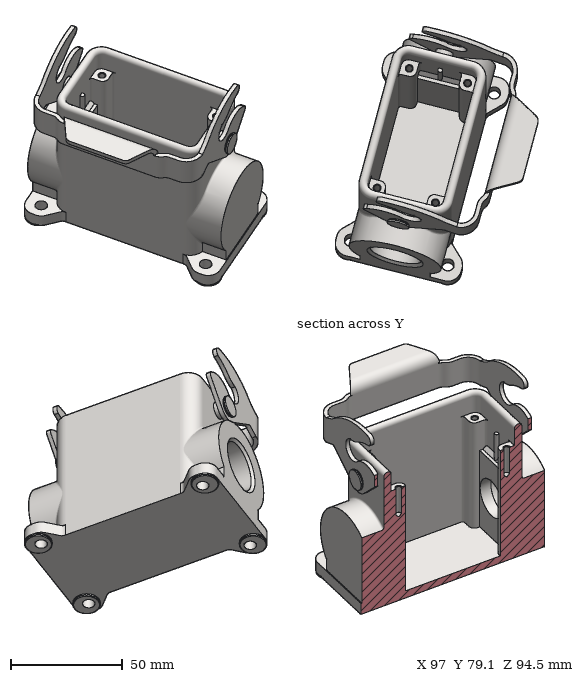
import cadquery as cq
import math

body_length = 73.1
body_width = 43.1
body_bottom = 1.2
body_top = 74.8
body_corner_radius = 7.5
wall = 4.2
floor_top = body_bottom + wall

entry_height = 27.2
boss_radius = 21.3
boss_left_end = -48.5
boss_right_end = 48.1
boss_inner_end = 27.2
boss_fillet = 1.0
neck_width = 32.4
entry_diameter = 23.5
entry_rim_diameter = 26.0
entry_floor = -34.5
entry_opening_diameter = 19.0

foot_end = 48.5
foot_half_width = 29.0
foot_top = 7.4
foot_shoulder = 10.3
foot_inner_x = 29.2
foot_outer_radius = 6.0
foot_inner_radius = 2.9
foot_hole_diameter = 5.5
foot_hole_x = 41.0
foot_hole_y = 22.5
pad_radius = 6.2
pad_chamfer = 0.4

post_inner_x = 24.9
post_inner_y = 9.9
post_top = 63.6
post_corner_radius = 2.9
post_root_radius = 1.2
post_hole_x = 28.5
post_hole_y = 13.5
post_hole_diameter = 2.8
post_hole_rim_diameter = 3.5
post_burial = 1.0
post_hole_depth = 14.55
entry_pad_face = 28.9
entry_pad_ledge = 30.6
entry_pad_top = 47.6
pin_diameter = 2.1
pin_x = 31.6
pin_top = 62.2

sheet = 2.0
arm_outer_x = 41.6
arm_end_y = -26.8
pivot_z = 65.2
pivot_diameter = 8.0
head_diameter = 10.0
head_thickness = 0.9
head_collar_diameter = 8.9
head_end_x = 43.2
strap_bottom = 69.1
strap_top = 82.6
strap_corner_radius = 7.2
strap_side_end_x = 29.1
joggle_offset = 2.1
joggle_radius = 5.0
joggle_angle = math.radians(32)
lip_bend_radius = 4.9
lip_end_y = -50.1
lip_root_half_width = 23.5
lip_tip_half_width = 14.9
lip_corner_radius = 2.9

cos_45 = math.sqrt(0.5)
inner_x = body_length / 2 - wall
inner_y = body_width / 2 - wall
rim_centre_z = body_top - wall / 2
arm_middle_x = arm_outer_x - sheet / 2
strap_side_y = arm_end_y - strap_corner_radius
strap_front_y = strap_side_y - joggle_offset


def on_both_ends(shape):
    return shape.union(shape.mirror("YZ"))


def on_four_corners(shape):
    return on_both_ends(shape.union(shape.mirror("XZ")))


def make_body():
    return (
        cq.Workplane("XY", origin=(0, 0, body_bottom))
        .rect(body_length, body_width)
        .extrude(rim_centre_z - body_bottom)
        .edges("|Z")
        .fillet(body_corner_radius)
    )


def make_rim():
    """Round bead that runs along the middle of the wall's top edge."""
    half_length = (body_length - wall) / 2
    half_width = (body_width - wall) / 2
    corner = body_corner_radius - wall / 2
    path = (
        cq.Workplane("XY", origin=(0, 0, rim_centre_z))
        .moveTo(0, -half_width)
        .lineTo(half_length - corner, -half_width)
        .radiusArc((half_length, -half_width + corner), -corner)
        .lineTo(half_length, half_width - corner)
        .radiusArc((half_length - corner, half_width), -corner)
        .lineTo(0, half_width)
    )
    start = (0, -half_width, rim_centre_z)
    return on_both_ends(cq.Workplane("YZ", origin=start).circle(wall / 2).sweep(path))


def make_entry_boss(outer_end, inner_end):
    """Round boss standing on a straight-sided neck."""
    length = inner_end - outer_end
    end_plane = cq.Workplane("YZ", origin=(outer_end, 0, 0))
    boss = end_plane.center(0, entry_height).circle(boss_radius).extrude(length)
    neck_height = entry_height - body_bottom
    neck = (
        end_plane.center(0, body_bottom + neck_height / 2)
        .rect(neck_width, neck_height)
        .extrude(length)
    )
    return boss.union(neck)


def make_foot_plate():
    """Left-hand mounting plate whose two ears slope back to the body."""
    side_y = body_width / 2
    root_x = -foot_end + foot_shoulder + foot_half_width - side_y
    half_outline = [
        (-foot_end, 0),
        (-foot_end, foot_half_width),
        (-foot_end + foot_shoulder, foot_half_width),
        (root_x, side_y),
        (-foot_inner_x, side_y),
        (-foot_inner_x, 0),
    ]
    half = (
        cq.Workplane("XY", origin=(0, 0, body_bottom))
        .polyline(half_outline)
        .close()
        .extrude(foot_top - body_bottom)
        .edges("|Z and >Y")
        .fillet(foot_outer_radius)
        .edges(cq.selectors.NearestToPointSelector((root_x, side_y, (body_bottom + foot_top) / 2)))
        .fillet(foot_inner_radius)
    )
    return half.union(half.mirror("XZ"))


def make_foot_pad():
    return (
        cq.Workplane("XY")
        .center(-foot_end + pad_radius, foot_half_width - pad_radius)
        .circle(pad_radius)
        .extrude(foot_top)
        .faces("<Z")
        .chamfer(pad_chamfer)
    )


def make_foot_hole():
    hole_plane = cq.Workplane("XY", origin=(-foot_hole_x, foot_hole_y, 0))
    return hole_plane.circle(foot_hole_diameter / 2).extrude(foot_top)


def make_cavity():
    return (
        cq.Workplane("XY", origin=(0, 0, floor_top))
        .rect(2 * inner_x, 2 * inner_y)
        .extrude(body_top - floor_top)
        .edges("|Z")
        .fillet(body_corner_radius - wall)
    )


def make_post():
    """Corner screw post, flared where it meets the walls and slightly buried in them."""
    outer_x = inner_x + post_burial
    outer_y = inner_y + post_burial
    root_x = post_inner_x - post_root_radius
    root_y = post_inner_y - post_root_radius
    return (
        cq.Workplane("XY", origin=(0, 0, body_bottom))
        .moveTo(-outer_x, outer_y)
        .lineTo(-root_x, outer_y)
        .lineTo(-root_x, inner_y)
        .radiusArc((-post_inner_x, inner_y - post_root_radius), -post_root_radius)
        .lineTo(-post_inner_x, post_inner_y)
        .lineTo(-inner_x + post_root_radius, post_inner_y)
        .radiusArc((-inner_x, root_y), -post_root_radius)
        .lineTo(-outer_x, root_y)
        .close()
        .extrude(post_top - body_bottom)
        .edges(cq.selectors.NearestToPointSelector((-post_inner_x, post_inner_y, post_top / 2)))
        .fillet(post_corner_radius)
        .cut(make_post_hole())
    )


def make_post_hole():
    """Blind screw hole with a countersunk mouth and a drill-point bottom."""
    radius = post_hole_diameter / 2
    rim_radius = post_hole_rim_diameter / 2
    profile = [
        (0, 0),
        (rim_radius, 0),
        (radius, radius - rim_radius),
        (radius, -post_hole_depth),
        (0, -post_hole_depth - radius),
    ]
    axis_top = (-post_hole_x, post_hole_y, post_top)
    return cq.Workplane("XZ", origin=axis_top).polyline(profile).close().revolve(360, (0, 0), (0, 1))


def make_entry_pad():
    """Thickened end wall behind the entry, with a stepped and sloping top."""
    slope_rise = inner_x - entry_pad_ledge
    buried_x = inner_x + wall / 2
    profile = [
        (-buried_x, body_bottom),
        (-entry_pad_face, body_bottom),
        (-entry_pad_face, entry_pad_top),
        (-entry_pad_ledge, entry_pad_top),
        (-inner_x, entry_pad_top + slope_rise),
        (-buried_x, entry_pad_top + slope_rise),
    ]
    return cq.Workplane("XZ").polyline(profile).close().extrude(post_inner_y, both=True)


def make_pin():
    return (
        cq.Workplane("XY", origin=(-pin_x, 0, body_bottom))
        .circle(pin_diameter / 2)
        .extrude(pin_top - body_bottom)
    )


def make_entry_bore():
    """Left-hand entry: chamfered counterbore, then a smaller opening to the cavity."""
    rim_depth = (entry_rim_diameter - entry_diameter) / 2
    end_plane = cq.Workplane("YZ", origin=(boss_left_end, 0, entry_height))
    bore = end_plane.circle(entry_diameter / 2).extrude(entry_floor - boss_left_end)
    opening = end_plane.circle(entry_opening_diameter / 2).extrude(-entry_pad_face - boss_left_end)
    rim = (
        end_plane.circle(entry_rim_diameter / 2)
        .workplane(offset=rim_depth)
        .circle(entry_diameter / 2)
        .loft()
    )
    return bore.union(opening).union(rim)


def make_arm():
    """Left-hand lever arm: hooked plate turning on the pivot."""
    return (
        cq.Workplane("YZ", origin=(-arm_outer_x, 0, 0))
        .moveTo(arm_end_y, strap_top)
        .threePointArc((-24.25, 83.8), (-21.6, 85.2))
        .threePointArc((-5.9, 93.4), (7.7, 94.3))
        .threePointArc((10.5, 91.5), (9.2, 89.2))
        .threePointArc((3.8, 87.7), (-1.1, 85.0))
        .threePointArc((-3.9, 83.8), (-7.0, 83.2))
        .threePointArc((-10.3, 78.1), (-5.9, 72.75))
        .threePointArc((-3.2, 72.9), (-0.4, 74.6))
        .threePointArc((7.4, 77.4), (14.9, 74.6))
        .threePointArc((16.5, 72.7), (16.0, 71.4))
        .lineTo(4.9, 60.2)
        .threePointArc((0.2, 58.2), (-4.2, 59.6))
        .lineTo(-19.9, 70.7)
        .threePointArc((-20.7, 71.1), (-21.4, 71.1))
        .lineTo(arm_end_y, strap_bottom)
        .close()
        .extrude(sheet)
    )


def make_pivot():
    """Shaft from the body through the arm, with a collar and a wider head outside it."""
    shaft_length = arm_outer_x - inner_x - wall / 2
    arm_plane = cq.Workplane("YZ", origin=(-arm_outer_x, 0, pivot_z))
    shaft = arm_plane.circle(pivot_diameter / 2).extrude(shaft_length)
    collar = arm_plane.circle(head_collar_diameter / 2).extrude(arm_outer_x - head_end_x)
    head = (
        cq.Workplane("YZ", origin=(-head_end_x, 0, pivot_z))
        .circle(head_diameter / 2)
        .extrude(head_thickness)
    )
    return shaft.union(collar).union(head)


def make_strap():
    """Left half of the strap: corner bend, straight run, S-shaped joggle, front run."""
    bend_shift = strap_corner_radius * cos_45
    bend_x = -arm_middle_x + strap_corner_radius
    bend_run = joggle_radius * math.sin(joggle_angle)
    bend_drop = joggle_radius * (1 - math.cos(joggle_angle))
    slope_drop = joggle_offset - 2 * bend_drop
    slope_run = slope_drop / math.tan(joggle_angle)
    joggle_x = -strap_side_end_x
    slope_start = (joggle_x + bend_run, strap_side_y - bend_drop)
    slope_end = (slope_start[0] + slope_run, slope_start[1] - slope_drop)
    joggle_end = (slope_end[0] + bend_run, strap_front_y)
    path = (
        cq.Workplane("XY", origin=(0, 0, (strap_bottom + strap_top) / 2))
        .moveTo(-arm_middle_x, arm_end_y)
        .threePointArc((bend_x - bend_shift, arm_end_y - bend_shift), (bend_x, strap_side_y))
        .lineTo(joggle_x, strap_side_y)
        .tangentArcPoint(slope_start, relative=False)
        .lineTo(*slope_end)
        .tangentArcPoint(joggle_end, relative=False)
        .lineTo(0, strap_front_y)
    )
    start = (-arm_middle_x, arm_end_y, (strap_bottom + strap_top) / 2)
    return cq.Workplane("XZ", origin=start).rect(sheet, strap_top - strap_bottom).sweep(path)


def make_lip():
    """Thumb lip bent outwards from the strap and tapering to its tip."""
    inside_y = strap_front_y + sheet / 2
    bend_y = inside_y - lip_bend_radius
    outer_shift = lip_bend_radius * cos_45
    inner_shift = (lip_bend_radius - sheet) * cos_45
    lip_top = strap_top + lip_bend_radius
    bent_sheet = (
        cq.Workplane("YZ")
        .moveTo(inside_y, strap_top)
        .threePointArc((bend_y + outer_shift, strap_top + outer_shift), (bend_y, lip_top))
        .lineTo(lip_end_y, lip_top)
        .lineTo(lip_end_y, lip_top - sheet)
        .lineTo(bend_y, lip_top - sheet)
        .threePointArc((bend_y + inner_shift, strap_top + inner_shift), (inside_y - sheet, strap_top))
        .close()
        .extrude(lip_root_half_width, both=True)
    )
    outline = (
        cq.Workplane("XY", origin=(0, 0, strap_top))
        .moveTo(-lip_root_half_width, inside_y)
        .lineTo(lip_root_half_width, inside_y)
        .lineTo(lip_tip_half_width, lip_end_y)
        .lineTo(-lip_tip_half_width, lip_end_y)
        .close()
        .extrude(lip_bend_radius)
        .edges("|Z and <Y")
        .fillet(lip_corner_radius)
    )
    return bent_sheet.intersect(outline)


def round_boss_junction(shell, end_side):
    """Small fillet where a boss meets the end wall and the rounded body corners."""
    wall_x = body_length / 2 + boss_fillet
    junction = cq.selectors.BoxSelector(
        (end_side * boss_inner_end, -body_width, entry_height - boss_radius / 2),
        (end_side * wall_x, body_width, entry_height + boss_radius + boss_fillet),
    )
    return shell.edges(junction).edges("not |Z").fillet(boss_fillet)


shell = (
    make_body()
    .union(make_entry_boss(boss_left_end, -boss_inner_end))
    .union(make_entry_boss(boss_inner_end, boss_right_end))
)
for end_side in (-1, 1):
    shell = round_boss_junction(shell, end_side)

shell = shell.cut(make_cavity()).union(make_rim())

shell = shell.union(on_both_ends(make_foot_plate()).cut(make_cavity()))
shell = shell.union(on_four_corners(make_foot_pad()))
shell = shell.cut(on_four_corners(make_foot_hole()))

shell = shell.union(on_both_ends(make_entry_pad()))
shell = shell.union(on_four_corners(make_post()))
shell = shell.union(on_both_ends(make_pin()))
shell = shell.cut(make_entry_bore())

lever = on_both_ends(make_arm().union(make_pivot()).union(make_strap())).union(make_lip())

result = shell.union(lever)